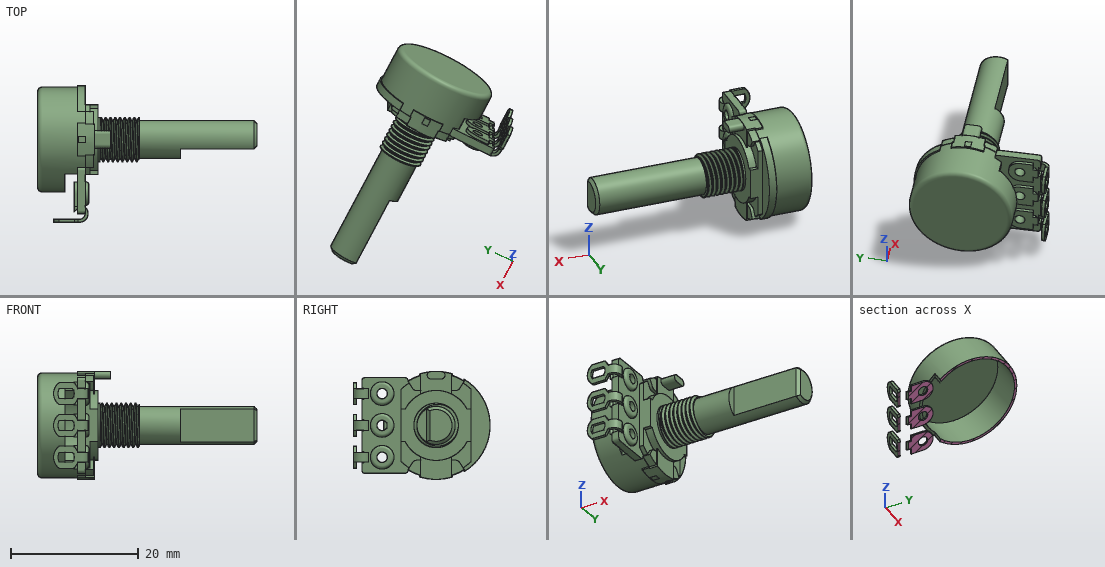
import cadquery as cq
import math


board_back = 6.27
board_front = 7.53
base_front = 8.28
wing_front = 8.8
strap_front = 9.0
flange_front = 9.55
bushing_end = 16.0
flat_start = 22.5
shaft_end = 34.5

can_radius = 8.26
can_wall = 0.5
can_rear_fillet = 0.75
window_start = 4.32
window_y = -5.45
crimp_half_width = 4.4

board_disc_radius = 8.5
board_half_height = 7.53
board_edge_y = -11.68
board_corner_radius = 0.5
key_width = 1.0
key_length = 1.07

base_radius = 7.9
flange_radius = 5.5
rib_half_height = 2.55
wing_radius = 8.2
wing_half_width = 4.4
wing_root_z = 5.45
wing_root_fillet = 0.9
strap_half_width = 2.42
strap_fold_half_width = 2.6
strap_thickness = 0.3
pin_width = 2.8
pin_thickness = 1.2
pin_end = 11.5

thread_radius = 3.5
thread_pitch = 0.75
thread_depth = 0.46
ridge_embedment = 0.06
thread_root_width = 0.68
thread_crest_width = 0.12
thread_collar_end = 9.85
helix_start = 9.04
shaft_radius = 3.0
shaft_flat_y = -1.5
shaft_chamfer = 0.5

terminal_pitch = 5.0
metal_thickness = 0.5
rivet_y = -8.48
rivet_hole_radius = 0.8
rivet_head_radius = 1.86
rivet_head_height = 0.55
rivet_head_fillet = 0.5
pad_half_height = 1.83
pad_end_y = -10.55
neck_half_height = 0.78
slot_half_height = 0.86
slot_bottom_y = -11.37
lug_outer_y = -13.0
bend_start = 6.62
bend_outer_radius = 1.35
bend_end_angle = 60
lug_half_height = 1.73
lug_tip = 2.53
lug_shoulder_rear = 3.42
lug_shoulder_front = 5.79
lug_neck = 6.37
eye_rear = 3.23
eye_front = 5.79
eye_corner_rear = 3.42
eye_corner_front = 5.5


def box(x_range, y_range, z_range):
    """Box spanning the given coordinate ranges."""
    corner = (x_range[0], y_range[0], z_range[0])
    return cq.Workplane("XY").box(
        x_range[1] - x_range[0],
        y_range[1] - y_range[0],
        z_range[1] - z_range[0],
        centered=False,
    ).translate(corner)


def disc(start, end, radius):
    """Cylinder on the shaft axis between two X stations."""
    return cq.Workplane("YZ").workplane(offset=start).circle(radius).extrude(end - start)


def band(start, end, radius, y_min, y_max):
    """Slice of an axial cylinder between two Y limits."""
    limits = box((start, end), (y_min, y_max), (-radius, radius))
    return disc(start, end, radius).intersect(limits)


def make_can():
    shell = disc(0, board_back, can_radius).faces("<X").edges().fillet(can_rear_fillet)
    cavity = disc(can_wall, board_back, can_radius - can_wall)
    window = box((window_start, board_back), (-can_radius, window_y), (-can_radius, can_radius))
    crimps = band(board_back, board_front, can_radius, -crimp_half_width, crimp_half_width)
    return shell.cut(cavity).cut(window).union(crimps)


def make_board():
    disc_side = band(board_back, board_front, board_disc_radius, crimp_half_width, board_disc_radius)
    tail = box(
        (board_back, board_front),
        (board_edge_y, -crimp_half_width),
        (-board_half_height, board_half_height),
    ).edges("|X").fillet(board_corner_radius)
    key = box(
        (board_front - key_length, board_front),
        (-key_width / 2, key_width / 2),
        (-board_disc_radius, board_disc_radius),
    )
    filling = box(
        (board_back, board_front),
        (-crimp_half_width - board_corner_radius, -crimp_half_width),
        (-can_radius / 2, can_radius / 2),
    )
    board = disc_side.union(tail).union(filling).union(key)
    for z in terminal_heights:
        board = board.cut(
            box(
                (board_back, board_front),
                (board_edge_y, slot_bottom_y),
                (z - slot_half_height, z + slot_half_height),
            )
        )
    return board


def make_wing(side):
    """Arm with radial edges and a rounded root, above (side = 1) or below (side = -1) the axis."""
    half_angle = math.asin(wing_half_width / wing_radius)
    root_half_width = wing_root_z * math.tan(half_angle)
    tip_half_width = wing_radius * math.tan(half_angle)
    sector = (
        cq.Workplane("YZ").workplane(offset=board_front)
        .polyline([
            (-root_half_width, side * wing_root_z),
            (root_half_width, side * wing_root_z),
            (tip_half_width, side * wing_radius),
            (-tip_half_width, side * wing_radius),
        ]).close()
        .extrude(wing_front - board_front)
    )
    root_edges = "|X and <Z" if side > 0 else "|X and >Z"
    sector = sector.edges(root_edges).fillet(wing_root_fillet)
    return sector.intersect(disc(board_front, wing_front, wing_radius))


def make_strap():
    """Sheet strap across the front with wider ends folded back over the can."""
    strap = band(board_front, strap_front, board_disc_radius, -strap_half_width, strap_half_width)
    folds = band(
        board_back, board_front, board_disc_radius, -strap_fold_half_width, strap_fold_half_width
    )
    inside = disc(board_back, wing_front, board_disc_radius - strap_thickness)
    return strap.union(folds).cut(inside)


def make_bracket():
    base = band(board_front, base_front, base_radius, -flange_radius, flange_radius)
    flange = disc(base_front, flange_front, flange_radius)
    rib = box(
        (board_front, flange_front),
        (-flange_radius, flange_radius),
        (-rib_half_height, rib_half_height),
    )
    rib = rib.intersect(disc(board_front, flange_front, base_radius))
    pin = (
        cq.Workplane("YZ").workplane(offset=strap_front)
        .center(0, board_disc_radius - pin_thickness / 2)
        .slot2D(pin_width, pin_thickness)
        .extrude(pin_end - strap_front)
    )
    bracket = base.union(flange).union(rib).union(make_strap()).union(pin)
    return bracket.union(make_wing(1)).union(make_wing(-1))


def make_bushing():
    """Core with a short plain collar followed by one right-hand helical ridge."""
    root_radius = thread_radius - thread_depth
    sunk_radius = root_radius - ridge_embedment
    profile = (
        cq.Workplane("XZ")
        .polyline([
            (sunk_radius, -thread_root_width / 2),
            (thread_radius, -thread_crest_width / 2),
            (thread_radius, thread_crest_width / 2),
            (sunk_radius, thread_root_width / 2),
        ]).close()
    )
    helix_length = bushing_end - helix_start + thread_pitch
    helix = cq.Workplane(obj=cq.Wire.makeHelix(thread_pitch, helix_length, root_radius))
    ridge = profile.sweep(helix, isFrenet=True)
    ridge = ridge.rotate((0, 0, 0), (0, 1, 0), 90).translate((helix_start, 0, 0))
    ridge = ridge.intersect(disc(thread_collar_end, bushing_end, 2 * thread_radius))
    collar = disc(flange_front, thread_collar_end, thread_radius)
    core = disc(flange_front, bushing_end, root_radius)
    return core.union(collar).union(ridge)


def make_shaft():
    shaft = disc(flange_front, shaft_end, shaft_radius)
    waste = box((flat_start, shaft_end), (-shaft_radius, shaft_flat_y), (-shaft_radius, shaft_radius))
    return shaft.cut(waste).faces(">X").edges().chamfer(shaft_chamfer)


def make_pad():
    """Rear contact pad with a neck that is bevelled towards the board."""
    pad_back = board_back - metal_thickness
    pad = (
        cq.Workplane("YZ").workplane(offset=pad_back)
        .moveTo(pad_end_y, -pad_half_height)
        .lineTo(rivet_y, -pad_half_height)
        .threePointArc((rivet_y + pad_half_height, 0), (rivet_y, pad_half_height))
        .lineTo(pad_end_y, pad_half_height)
        .close()
        .extrude(metal_thickness)
    )
    neck = (
        cq.Workplane("XY").workplane(offset=-neck_half_height)
        .polyline([
            (pad_back, pad_end_y),
            (pad_back, slot_bottom_y),
            (board_back, slot_bottom_y + metal_thickness),
            (board_back, pad_end_y),
        ]).close()
        .extrude(2 * neck_half_height)
    )
    return pad.union(neck)


def make_lug():
    """Flat solder lug with an elongated eye, parallel to the XZ plane."""
    outline = (
        cq.Workplane("XZ").workplane(offset=-lug_outer_y - metal_thickness)
        .moveTo(lug_shoulder_rear, -lug_half_height)
        .threePointArc((lug_tip, 0), (lug_shoulder_rear, lug_half_height))
        .lineTo(lug_shoulder_front, lug_half_height)
        .lineTo(lug_neck, neck_half_height)
        .lineTo(bend_start, neck_half_height)
        .lineTo(bend_start, -neck_half_height)
        .lineTo(lug_neck, -neck_half_height)
        .lineTo(lug_shoulder_front, -lug_half_height)
        .close()
        .extrude(metal_thickness)
    )
    eye = (
        cq.Workplane("XZ").workplane(offset=-lug_outer_y - metal_thickness)
        .moveTo(eye_corner_rear, -neck_half_height)
        .threePointArc((eye_rear, 0), (eye_corner_rear, neck_half_height))
        .lineTo(eye_corner_front, neck_half_height)
        .threePointArc((eye_front, 0), (eye_corner_front, -neck_half_height))
        .close()
        .extrude(metal_thickness)
    )
    return outline.cut(eye)


def make_bent_strip():
    """Strip that curls from the lug round into the front of the board."""
    bend_y = lug_outer_y + bend_outer_radius
    inner_radius = bend_outer_radius - metal_thickness

    def bend_point(radius, degrees):
        angle = math.radians(degrees)
        return (bend_start + radius * math.cos(angle), bend_y + radius * math.sin(angle))

    return (
        cq.Workplane("XY").workplane(offset=-neck_half_height)
        .moveTo(*bend_point(bend_outer_radius, -90))
        .threePointArc(bend_point(bend_outer_radius, 0), bend_point(bend_outer_radius, bend_end_angle))
        .lineTo(*bend_point(inner_radius, bend_end_angle))
        .threePointArc(bend_point(inner_radius, 0), bend_point(inner_radius, -90))
        .close()
        .extrude(2 * neck_half_height)
    )


def make_terminal():
    head = (
        cq.Workplane("YZ").workplane(offset=board_front)
        .center(rivet_y, 0)
        .circle(rivet_head_radius)
        .extrude(rivet_head_height)
        .faces(">X").edges().fillet(rivet_head_fillet)
    )
    return make_pad().union(make_lug()).union(make_bent_strip()).union(head)


def make_rivet_hole(z):
    return (
        cq.Workplane("YZ").workplane(offset=window_start)
        .center(rivet_y, z)
        .circle(rivet_hole_radius)
        .extrude(flange_front - window_start)
    )


terminal_heights = [index * terminal_pitch for index in (-1, 0, 1)]

result = make_can().union(make_board()).union(make_bracket())
result = result.union(make_bushing()).union(make_shaft())
terminal = make_terminal()
for height in terminal_heights:
    result = result.union(terminal.translate((0, 0, height)))
for height in terminal_heights:
    result = result.cut(make_rivet_hole(height))